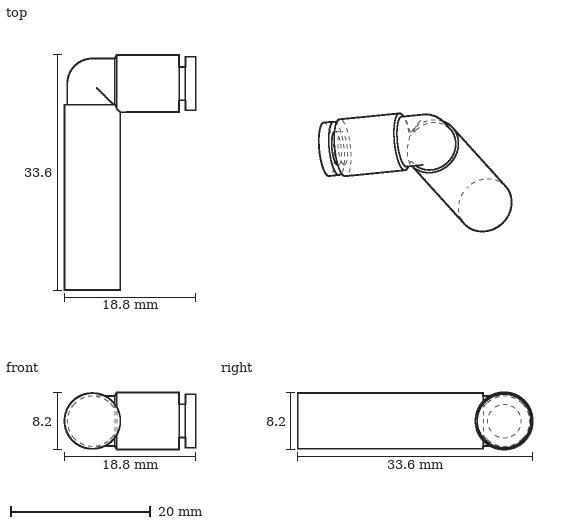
import cadquery as cq

elbow_diameter = 7.2
miter_reach = elbow_diameter

stem_diameter = 8.0
stem_start = 3.0
stem_end = 29.5

socket_diameter = 8.2
socket_start = 3.2
socket_length = 9.2
shoulder_length = 0.3

neck_diameter = 4.8
neck_length = 0.9
button_diameter = 7.7
button_length = 1.5


def cylinder_x(diameter, start, length):
    """Solid cylinder on the X axis, growing toward +X."""
    return cq.Workplane("YZ", origin=(start, 0, 0)).circle(diameter / 2).extrude(length)


def cylinder_minus_y(diameter, start, length):
    """Solid cylinder on the Y axis, growing toward -Y."""
    return cq.Workplane("XZ", origin=(0, -start, 0)).circle(diameter / 2).extrude(length)


def make_ball_corner():
    """Quarter of a ball, filling the outer corner where x < 0 and y > 0."""
    radius = elbow_diameter / 2
    half_disc = (
        cq.Workplane("YZ")
        .moveTo(0, -radius)
        .threePointArc((radius, 0), (0, radius))
        .close()
    )
    return half_disc.revolve(90, (0, 0), (0, 1))


def miter_block(corner):
    """Triangular block between the origin, the miter line and the given corner."""
    return (
        cq.Workplane("XY")
        .polyline([(0, 0), (miter_reach, -miter_reach), corner])
        .close()
        .extrude(elbow_diameter, both=True)
    )


def make_elbow():
    """Legs mitered at 45 degrees on the inside of the bend, rounded by a ball outside."""
    socket_leg = cylinder_x(elbow_diameter, 0, socket_start)
    socket_leg = socket_leg.cut(miter_block((0, -miter_reach)))
    stem_leg = cylinder_minus_y(elbow_diameter, 0, stem_start)
    stem_leg = stem_leg.cut(miter_block((miter_reach, 0)))
    return make_ball_corner().union(socket_leg).union(stem_leg)


def make_stem():
    return cylinder_minus_y(stem_diameter, stem_start, stem_end - stem_start)


def make_socket():
    """Cylinder whose inner end tapers down to the elbow diameter."""
    socket_end = socket_start + socket_length
    half_profile = (
        cq.Workplane("XY")
        .moveTo(socket_start, 0)
        .lineTo(socket_start, elbow_diameter / 2)
        .lineTo(socket_start + shoulder_length, socket_diameter / 2)
        .lineTo(socket_end, socket_diameter / 2)
        .lineTo(socket_end, 0)
        .close()
    )
    return half_profile.revolve(360, (0, 0), (1, 0))


def make_release_button():
    neck_start = socket_start + socket_length
    neck = cylinder_x(neck_diameter, neck_start, neck_length)
    button = cylinder_x(button_diameter, neck_start + neck_length, button_length)
    return neck.union(button)


result = make_elbow().union(make_stem()).union(make_socket()).union(make_release_button())